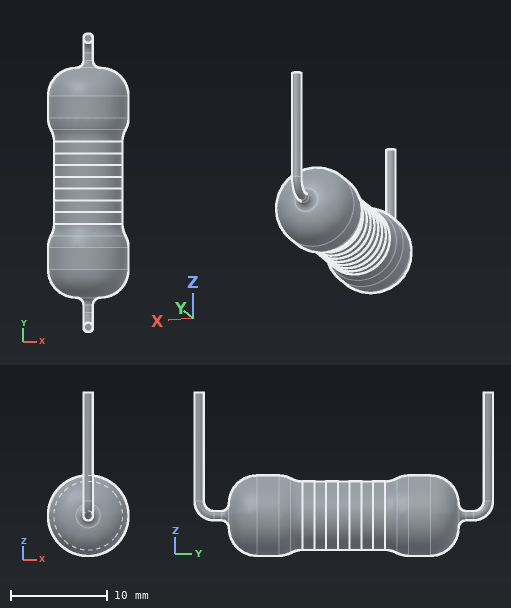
import cadquery as cq
import math

overall_length = 31.0
lead_top = 12.8
lead_radius = 0.5
bend_radius = 1.55

body_half_length = 11.95
cap_diameter = 8.4
cap_radius = cap_diameter / 2
dome_radius = 2.95
neck_half_length = 4.28
shoulder_length = 2.45
neck_radius = 3.55

band_diameter = 7.15
band_radius = band_diameter / 2
band_count = 4
band_width = 2 * neck_half_length / (2 * band_count - 1)

lead_y = overall_length / 2 - lead_radius
cap_start = neck_half_length + shoulder_length
dome_start = body_half_length - dome_radius
dome_centre_radius = cap_radius - dome_radius

fillet_radius = dome_centre_radius - lead_radius

diagonal = math.sqrt(0.5)


def make_end_cap():
    """Revolve the +Y end: S-shaped shoulder, cap, dome and lead fillet."""
    arc_length = shoulder_length / 2
    arc_drop = (cap_radius - neck_radius) / 2
    shoulder_radius = (arc_length**2 + arc_drop**2) / (2 * arc_drop)
    half_angle = math.asin(arc_length / shoulder_radius) / 2
    mid_length = shoulder_radius * math.sin(half_angle)
    mid_drop = shoulder_radius * (1 - math.cos(half_angle))

    fillet_end = body_half_length + fillet_radius
    return (
        cq.Workplane("XY")
        .moveTo(0, neck_half_length)
        .lineTo(neck_radius, neck_half_length)
        .threePointArc(
            (neck_radius + mid_drop, neck_half_length + mid_length),
            (neck_radius + arc_drop, neck_half_length + arc_length),
        )
        .threePointArc((cap_radius - mid_drop, cap_start - mid_length), (cap_radius, cap_start))
        .lineTo(cap_radius, dome_start)
        .threePointArc(
            (dome_centre_radius + dome_radius * diagonal, dome_start + dome_radius * diagonal),
            (dome_centre_radius, body_half_length),
        )
        .threePointArc(
            (dome_centre_radius - fillet_radius * diagonal, fillet_end - fillet_radius * diagonal),
            (lead_radius, fillet_end),
        )
        .lineTo(0, fillet_end)
        .close()
        .revolve(360, (0, 0, 0), (0, 1, 0))
    )


def make_neck():
    """The plain cylinder between the two end caps."""
    return cq.Workplane("XZ").circle(neck_radius).extrude(neck_half_length, both=True)


def make_band(start):
    """One colour band, filling the neck from y = start."""
    return cq.Workplane("XZ", origin=(0, start, 0)).circle(band_radius).extrude(-band_width)


def make_lead():
    """The +Y lead: out of the body, round the bend and straight up."""
    bend_start = lead_y - bend_radius
    path = (
        cq.Workplane("YZ")
        .moveTo(dome_start, 0)
        .lineTo(bend_start, 0)
        .threePointArc(
            (bend_start + bend_radius * diagonal, bend_radius * (1 - diagonal)),
            (lead_y, bend_radius),
        )
        .lineTo(lead_y, lead_top)
    )
    return cq.Workplane("XZ", origin=(0, dome_start, 0)).circle(lead_radius).sweep(path)


end = make_end_cap().union(make_lead())
result = make_neck().union(end).union(end.mirror("XZ"))
for index in range(band_count):
    result = result.union(make_band(-neck_half_length + 2 * index * band_width))